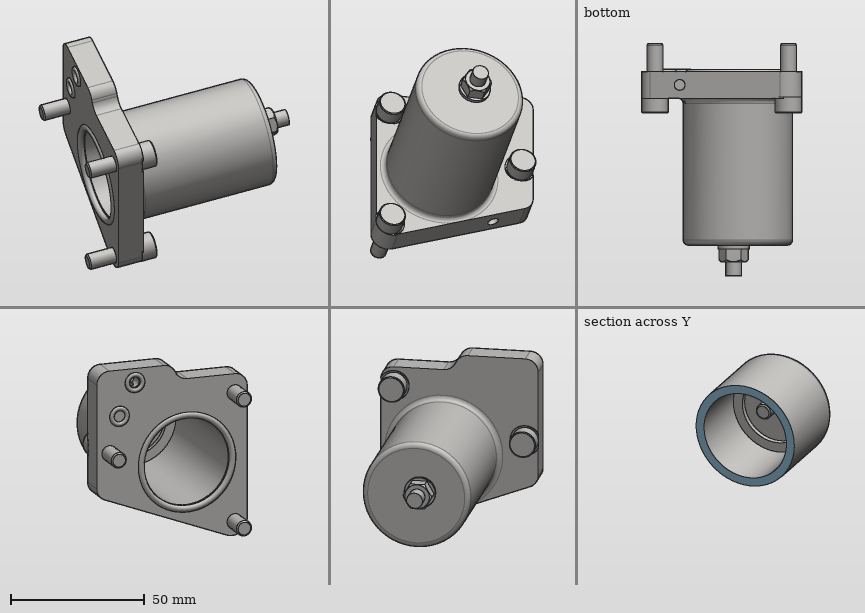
import cadquery as cq
import math


flange_width = 60.0
flange_thickness = 10.0
corner_radius = 5.0
low_corner_radius = 6.1
step_drop = 6.0
step_start_x = 29.7
step_angle = 60.0
left_side_height = 48.8
bottom_slope = 20.9
right_bottom_z = -left_side_height - flange_width * math.tan(math.radians(bottom_slope))

barrel_x, barrel_z = 36.0, -38.5
barrel_diameter = 41.0
barrel_end_y = 65.0
barrel_edge_radius = 2.0
bore_diameter = 34.0
end_recess_diameter = 26.5
end_recess_depth = 2.0
end_wall = 5.0

bore_ring_outer = 39.0
bore_ring_section = (bore_ring_outer - bore_diameter) / 2
bore_ring_projection = 0.8
port_ring_outer = 7.8
port_ring_section = 1.7
port_ring_projection = 0.9
port_centers = [(15.2, -5.5), (9.05, -18.0)]

passage_diameter = 4.0
port_drill_depth = 6.5
drill_tip_angle = 118.0
channel_x = 14.3
channel_y = flange_thickness / 2
channel_top_z = port_centers[0][1] + passage_diameter / 2

bolt_centers = [(5.05, -32.0), (55.0, -13.3), (55.0, -63.5)]
thread_diameter = 6.0
thread_chamfer = 0.5
bolt_head_diameter = 10.0
bolt_head_height = 6.0
bolt_head_chamfer = 0.35
bolt_shank_length = 20.0
spotface_diameter = 11.5
spotface_depth = 0.5
bolt_seat_y = flange_thickness - spotface_depth

stud_x, stud_z = 34.45, -37.0
stud_length = 25.0
stud_end_y = 76.5
washer_diameter = 11.8
washer_thickness = 1.3
nut_across_flats = 9.6
nut_thickness = 5.0
nut_end_diameter = 9.3


def cylinder(center, diameter, start_y, end_y):
    """Solid cylinder along Y between two Y positions."""
    x, z = center
    axis_start = cq.Vector(x, start_y, z)
    solid = cq.Solid.makeCylinder(diameter / 2, end_y - start_y, axis_start, cq.Vector(0, 1, 0))
    return cq.Workplane(solid)


def o_ring(center, outer_diameter, section, projection):
    """O-ring standing out of the mating face by the given projection."""
    x, z = center
    ring_center = cq.Vector(x, section / 2 - projection, z)
    ring_radius = (outer_diameter - section) / 2
    return cq.Workplane(cq.Solid.makeTorus(ring_radius, section / 2, ring_center, cq.Vector(0, 1, 0)))


def flange_prism(length):
    """Flange outline with rounded corners, extruded from the mating face toward +Y."""
    step_end_x = step_start_x + step_drop / math.tan(math.radians(step_angle))
    corners = [
        (0, 0),
        (step_start_x, 0),
        (step_end_x, -step_drop),
        (flange_width, -step_drop),
        (flange_width, right_bottom_z),
        (0, -left_side_height),
    ]
    prism = cq.Workplane("XZ").polyline(corners).close().extrude(-length)
    low_corner = cq.selectors.NearestToPointSelector((flange_width, length / 2, right_bottom_z))
    all_corners = cq.selectors.ParallelDirSelector(cq.Vector(0, 1, 0))
    other_corners = cq.selectors.SubtractSelector(all_corners, low_corner)
    prism = prism.edges(other_corners).fillet(corner_radius)
    return prism.edges(low_corner).fillet(low_corner_radius)


def barrel_body():
    """Round barrel with a rounded closed end and a fillet that flares out onto the flange."""
    radius = barrel_diameter / 2
    edge = barrel_edge_radius
    bend = edge * math.sqrt(0.5)
    flare_y = flange_thickness + edge
    round_y = barrel_end_y - edge
    profile = (
        cq.Workplane("XY")
        .moveTo(0, 0)
        .lineTo(radius + edge, 0)
        .lineTo(radius + edge, flange_thickness)
        .threePointArc((radius + edge - bend, flare_y - bend), (radius, flare_y))
        .lineTo(radius, round_y)
        .threePointArc((radius - edge + bend, round_y + bend), (radius - edge, barrel_end_y))
        .lineTo(0, barrel_end_y)
        .close()
    )
    return profile.revolve(360, (0, 0, 0), (0, 1, 0)).translate((barrel_x, 0, barrel_z))


def oil_passage():
    """Port drilled from the mating face with a conical tip, and the vertical channel that meets it."""
    port_x, port_z = port_centers[0]
    radius = passage_diameter / 2
    tip_depth = radius / math.tan(math.radians(drill_tip_angle / 2))
    port = (
        cq.Workplane("XY")
        .polyline([(0, 0), (radius, 0), (radius, port_drill_depth), (0, port_drill_depth + tip_depth)])
        .close()
        .revolve(360, (0, 0, 0), (0, 1, 0))
        .translate((port_x, 0, port_z))
    )
    channel = (
        cq.Workplane("XY", origin=(channel_x, channel_y, right_bottom_z))
        .circle(radius)
        .extrude(channel_top_z - right_bottom_z)
    )
    return port.union(channel)


def make_housing():
    housing = flange_prism(flange_thickness)
    housing = housing.union(barrel_body().intersect(flange_prism(barrel_end_y)))

    barrel_center = (barrel_x, barrel_z)
    recess_end_y = barrel_end_y - end_wall
    housing = housing.cut(cylinder(barrel_center, bore_diameter, 0, recess_end_y - end_recess_depth))
    housing = housing.cut(cylinder(barrel_center, end_recess_diameter, 0, recess_end_y))
    housing = housing.cut(cylinder((stud_x, stud_z), thread_diameter, 0, barrel_end_y))

    bore_seat_depth = bore_ring_section - bore_ring_projection
    housing = housing.cut(cylinder(barrel_center, bore_ring_outer, 0, bore_seat_depth))
    port_seat_depth = port_ring_section - port_ring_projection
    for center in port_centers:
        housing = housing.cut(cylinder(center, port_ring_outer, 0, port_seat_depth))
    housing = housing.cut(oil_passage())

    for center in bolt_centers:
        housing = housing.cut(cylinder(center, thread_diameter, 0, flange_thickness))
        housing = housing.cut(cylinder(center, spotface_diameter, bolt_seat_y, flange_thickness))
    return housing


def make_bolt(center):
    shank = cylinder(center, thread_diameter, bolt_seat_y - bolt_shank_length, bolt_seat_y)
    shank = shank.faces("<Y").chamfer(thread_chamfer)
    head = cylinder(center, bolt_head_diameter, bolt_seat_y, bolt_seat_y + bolt_head_height)
    head = head.faces(">Y").chamfer(bolt_head_chamfer)
    return shank.union(head)


def make_stud():
    stud = cylinder((stud_x, stud_z), thread_diameter, stud_end_y - stud_length, stud_end_y)
    return stud.faces("<Y").chamfer(thread_chamfer)


def make_washer():
    center = (stud_x, stud_z)
    washer_end_y = barrel_end_y + washer_thickness
    washer = cylinder(center, washer_diameter, barrel_end_y, washer_end_y)
    return washer.cut(cylinder(center, thread_diameter, barrel_end_y, washer_end_y))


def make_nut():
    """Hexagon nut with two corners on the X direction and its outer end chamfered at 45 degrees."""
    center = (stud_x, stud_z)
    start_y = barrel_end_y + washer_thickness
    end_y = start_y + nut_thickness
    corner_to_corner = nut_across_flats / math.cos(math.radians(30))
    hexagon = (
        cq.Workplane("XZ", origin=(stud_x, start_y, stud_z))
        .polygon(6, corner_to_corner)
        .extrude(-nut_thickness)
    )
    blank = cylinder(center, corner_to_corner, start_y, end_y)
    blank = blank.faces(">Y").chamfer((corner_to_corner - nut_end_diameter) / 2)
    return hexagon.intersect(blank).cut(cylinder(center, thread_diameter, start_y, end_y))


housing = make_housing()
bore_ring = o_ring((barrel_x, barrel_z), bore_ring_outer, bore_ring_section, bore_ring_projection)
port_rings = [
    o_ring(center, port_ring_outer, port_ring_section, port_ring_projection)
    for center in port_centers
]
bolts = [make_bolt(center) for center in bolt_centers]
stud = make_stud()
washer = make_washer()
nut = make_nut()

result = cq.Compound.makeCompound([
    housing.val(),
    bore_ring.val(),
    *[ring.val() for ring in port_rings],
    *[bolt.val() for bolt in bolts],
    stud.val(),
    washer.val(),
    nut.val(),
])